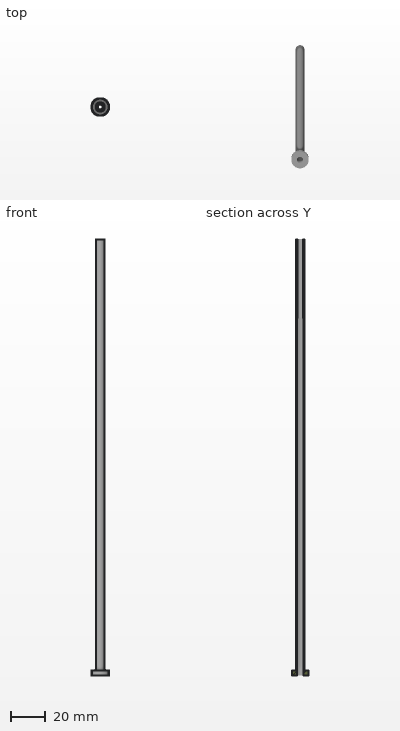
import cadquery as cq

TOTAL_LENGTH = 250.0
HEAD_DIAMETER = 10.0
HEAD_THICKNESS = 3.0
TUBE_DIAMETER = 5.0
BORE_DIAMETER = 3.0
RELIEF_DIAMETER = 3.5
GUIDE_LENGTH = 45.0
ROOT_FILLET = 0.3

HEAD_RADIUS = HEAD_DIAMETER / 2
TUBE_RADIUS = TUBE_DIAMETER / 2
BORE_RADIUS = BORE_DIAMETER / 2
RELIEF_RADIUS = RELIEF_DIAMETER / 2
GUIDE_START = TOTAL_LENGTH - GUIDE_LENGTH


def sleeve_profile():
    """Half section of the sleeve wall; local x is the radius, local y the height."""
    return (
        cq.Workplane("XZ")
        .moveTo(RELIEF_RADIUS, 0)
        .lineTo(HEAD_RADIUS, 0)
        .lineTo(HEAD_RADIUS, HEAD_THICKNESS)
        .lineTo(TUBE_RADIUS + ROOT_FILLET, HEAD_THICKNESS)
        .radiusArc((TUBE_RADIUS, HEAD_THICKNESS + ROOT_FILLET), ROOT_FILLET)
        .lineTo(TUBE_RADIUS, TOTAL_LENGTH)
        .lineTo(BORE_RADIUS, TOTAL_LENGTH)
        .lineTo(BORE_RADIUS, GUIDE_START)
        .lineTo(RELIEF_RADIUS, GUIDE_START)
        .close()
    )


result = sleeve_profile().revolve(360, (0, 0, 0), (0, 1, 0))